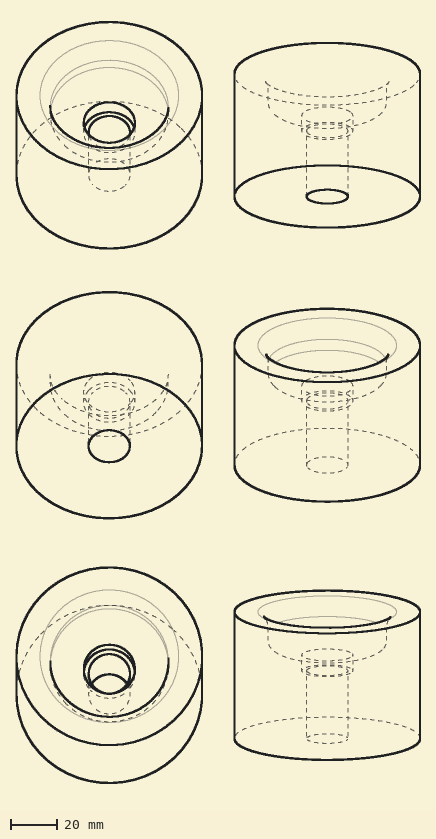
import cadquery as cq

outer_radius = 40.0
height = 56.0

mouth_radius = 29.8
wall_radius = 50.8 / 2
wall_top_depth = 8.1
wall_bottom_depth = 13.2
floor_depth = 19.0

counterbore_radius = 22.0 / 2
counterbore_depth = 26.0
bore_radius = 17.8 / 2

section = (
    cq.Workplane("XZ")
    .moveTo(bore_radius, 0)
    .lineTo(outer_radius, 0)
    .lineTo(outer_radius, height)
    .lineTo(mouth_radius, height)
    .ellipseArc(mouth_radius - wall_radius, wall_top_depth, 90, 180, sense=1)
    .lineTo(wall_radius, height - wall_bottom_depth)
    .ellipseArc(
        wall_radius - counterbore_radius, floor_depth - wall_bottom_depth, 270, 360, sense=-1
    )
    .lineTo(counterbore_radius, height - counterbore_depth)
    .lineTo(bore_radius, height - counterbore_depth)
    .close()
)
result = section.revolve(360, (0, 0, 0), (0, 1, 0))